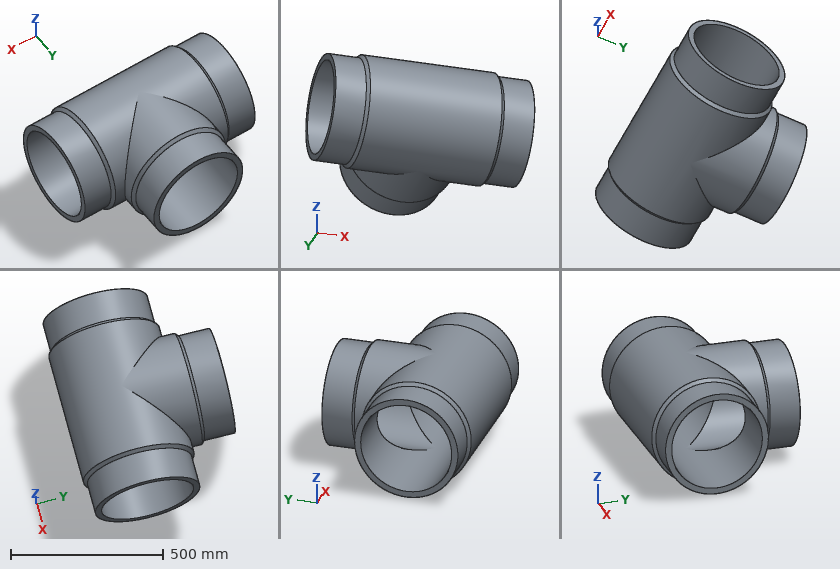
import cadquery as cq

run_length = 680.0
branch_reach = run_length / 2
body_diameter = 377.0
spigot_diameter = 355.0
bore_diameter = 313.0
spigot_length = 104.0

body_radius = body_diameter / 2
spigot_radius = spigot_diameter / 2
bore_radius = bore_diameter / 2
bevel = body_radius - spigot_radius


def outer_arm(plane):
    """Solid arm from the tee centre: thick body, bevelled shoulder, spigot."""
    body_length = branch_reach - spigot_length
    body = cq.Workplane(plane).circle(body_radius).extrude(body_length)
    body = body.faces(cq.selectors.DirectionMinMaxSelector(plane.zDir, True)).chamfer(bevel)
    spigot = cq.Workplane(plane).circle(spigot_radius).extrude(branch_reach)
    return body.union(spigot)


def bore(plane, length):
    """Cylinder that clears a pipe passage starting on the plane."""
    return cq.Workplane(plane).circle(bore_radius).extrude(length)


centre = (0, 0, 0)
right_plane = cq.Plane(origin=centre, xDir=(0, 1, 0), normal=(1, 0, 0))
left_plane = cq.Plane(origin=centre, xDir=(0, 1, 0), normal=(-1, 0, 0))
branch_plane = cq.Plane(origin=centre, xDir=(1, 0, 0), normal=(0, 1, 0))

run = outer_arm(right_plane).union(outer_arm(left_plane))
tee = run.union(outer_arm(branch_plane))

for arm_plane in (right_plane, left_plane, branch_plane):
    tee = tee.cut(bore(arm_plane, branch_reach))

result = tee.clean()